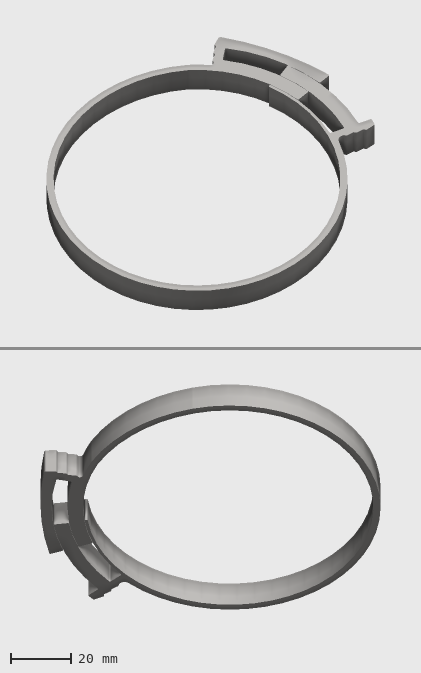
import cadquery as cq
import math


height = 9.5
overall_length = 113.4
strap_radius = 49.9
strap_thickness = 2.4
bore_radius = strap_radius - strap_thickness

jaw_gap = 0.1
liner_thickness = 1.0
jaw_pitch = 5.2
liner_top = bore_radius + liner_thickness
inner_jaw_bottom = liner_top + jaw_gap
inner_jaw_top = inner_jaw_bottom + jaw_pitch - jaw_gap
middle_jaw_bottom = inner_jaw_top + jaw_gap
middle_jaw_top = middle_jaw_bottom + jaw_pitch - jaw_gap
outer_jaw_bottom = middle_jaw_top + jaw_gap

jaw_tip_angle = 6.4
liner_tip_angle = 7.2
wall_inner_angle = 28.0
wall_outer_angle = 31.0
wall_corner_angle = 30.5
tooth_tip_angle = 31.6
jaw_root_angle = wall_inner_angle + 1.0
strap_seam_angle = 270.0
left_neck_angle = 40.0

outer_jaw_end_radius = (overall_length - strap_radius) / math.cos(math.radians(jaw_tip_angle))
outer_jaw_waist_radius = 62.7
wall_overlap = 1.1

tooth_count = 3
tooth_pitch = 3.5
first_tooth_radius = 60.2
tooth_ledge = 0.8
post_radius = 63.7

left_centre_shift = 3.4

tip_fillet = 0.3
pocket_fillet = 0.5
corner_fillet = 0.8
left_neck_fillet = 1.1
right_neck_fillet = 2.0


def polar(radius, angle):
    a = math.radians(angle)
    return (radius * math.sin(a), radius * math.cos(a))


def sector(inner_radius, outer_radius, start, end):
    """Concentric band between two angles."""
    middle = (start + end) / 2
    return (
        cq.Workplane("XY")
        .moveTo(*polar(inner_radius, start))
        .threePointArc(polar(inner_radius, middle), polar(inner_radius, end))
        .lineTo(*polar(outer_radius, end))
        .threePointArc(polar(outer_radius, middle), polar(outer_radius, start))
        .close()
        .extrude(height)
    )


def shifted_arc(start_radius, end_radius):
    """Middle and end of the left strap arc that grows from start_radius to end_radius."""
    radius = start_radius + left_centre_shift
    sine = (left_centre_shift**2 + radius**2 - end_radius**2) / (2 * left_centre_shift * radius)
    end_angle = -math.degrees(math.asin(sine))
    points = []
    for angle in ((end_angle - 90) / 2, end_angle):
        x, y = polar(radius, angle)
        points.append((x + left_centre_shift, y))
    return points


def left_strap():
    """Quarter strap that widens, then runs concentric up to the left wall."""
    jaw_back = inner_jaw_bottom + strap_thickness
    inner_middle, inner_join = shifted_arc(bore_radius, inner_jaw_bottom)
    outer_middle, outer_join = shifted_arc(strap_radius, jaw_back)
    concentric_middle = -(wall_inner_angle + left_neck_angle) / 2
    return (
        cq.Workplane("XY")
        .moveTo(-bore_radius, 0)
        .threePointArc(inner_middle, inner_join)
        .threePointArc(
            polar(inner_jaw_bottom, concentric_middle), polar(inner_jaw_bottom, -wall_inner_angle)
        )
        .lineTo(*polar(jaw_back, -wall_inner_angle))
        .threePointArc(polar(jaw_back, concentric_middle), outer_join)
        .threePointArc(outer_middle, (-strap_radius, 0))
        .close()
        .extrude(height)
    )


def toothed_wall(side, bottom_radius, outer_top_radius, inner_top_radius):
    """End wall with a saw-toothed outer face; side is -1 for left and 1 for right."""
    points = [
        polar(bottom_radius, side * wall_inner_angle),
        polar(inner_top_radius, side * wall_inner_angle),
        polar(outer_top_radius, side * wall_corner_angle),
    ]
    for i in range(tooth_count):
        tip_radius = first_tooth_radius - i * tooth_pitch
        points.append(polar(tip_radius, side * tooth_tip_angle))
        points.append(polar(tip_radius - tooth_ledge, side * wall_outer_angle))
    points.append(polar(bottom_radius, side * wall_outer_angle))
    return cq.Workplane("XY").polyline(points).close().extrude(height)


def outer_jaw():
    """Left-hand jaw that closes over the middle jaw."""
    middle = (jaw_tip_angle - wall_corner_angle) / 2
    return (
        cq.Workplane("XY")
        .moveTo(*polar(outer_jaw_bottom, -wall_corner_angle))
        .threePointArc(polar(outer_jaw_bottom, middle), polar(outer_jaw_bottom, jaw_tip_angle))
        .lineTo(*polar(outer_jaw_end_radius, jaw_tip_angle))
        .threePointArc(
            polar(outer_jaw_waist_radius, middle), polar(outer_jaw_end_radius, -wall_corner_angle)
        )
        .close()
        .extrude(height)
    )


def round_edges(body, radius, corners):
    """Fillet the vertical edge standing at each (radius, angle) corner."""
    for corner in corners:
        x, y = polar(*corner)
        edge = cq.selectors.NearestToPointSelector((x, y, height / 2))
        body = body.edges("|Z").edges(edge).fillet(radius)
    return body


def left_end():
    """Wall carrying the inner and outer jaws, together with the strap quarter that feeds it."""
    strap_back = inner_jaw_bottom + strap_thickness
    wall_bottom = inner_jaw_bottom + strap_thickness / 2
    body = (
        left_strap()
        .union(toothed_wall(-1, wall_bottom, outer_jaw_end_radius, outer_jaw_bottom + wall_overlap))
        .union(sector(inner_jaw_bottom, inner_jaw_top, -jaw_root_angle, jaw_tip_angle))
        .union(outer_jaw())
    )
    pocket_corners = [(r, -wall_inner_angle) for r in (inner_jaw_top, outer_jaw_bottom)]
    tip_radii = (inner_jaw_bottom, inner_jaw_top, outer_jaw_bottom, outer_jaw_end_radius)
    body = round_edges(body, left_neck_fillet, [(strap_back, -wall_outer_angle)])
    body = round_edges(body, corner_fillet, [(outer_jaw_end_radius, -wall_corner_angle)])
    body = round_edges(body, pocket_fillet, pocket_corners)
    return round_edges(body, tip_fillet, [(r, jaw_tip_angle) for r in tip_radii])


def right_end():
    """Wall carrying the middle jaw, liner and finger post, with the other three strap quarters."""
    wall_bottom = bore_radius + strap_thickness / 2
    body = (
        sector(bore_radius, strap_radius, wall_inner_angle, strap_seam_angle)
        .union(toothed_wall(1, wall_bottom, post_radius, post_radius))
        .union(sector(bore_radius, liner_top, -liner_tip_angle, jaw_root_angle))
        .union(sector(middle_jaw_bottom, middle_jaw_top, -jaw_tip_angle, jaw_root_angle))
    )
    inner_radii = (liner_top, middle_jaw_bottom, middle_jaw_top, post_radius)
    wall_corners = [(r, wall_inner_angle) for r in inner_radii]
    jaw_tip = [(r, -jaw_tip_angle) for r in (middle_jaw_bottom, middle_jaw_top)]
    liner_tip = [(r, -liner_tip_angle) for r in (bore_radius, liner_top)]
    body = round_edges(body, right_neck_fillet, [(strap_radius, wall_outer_angle)])
    body = round_edges(body, pocket_fillet, wall_corners + [(post_radius, wall_corner_angle)])
    return round_edges(body, tip_fillet, jaw_tip + liner_tip)


result = left_end().union(right_end())